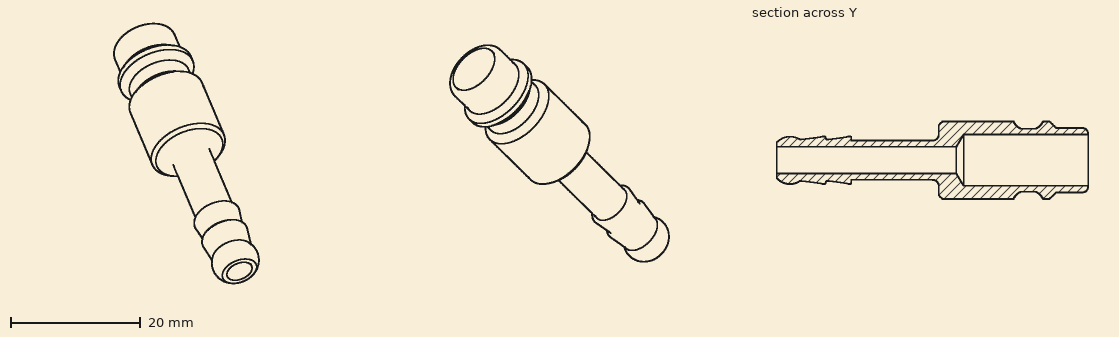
import cadquery as cq
import math

length = 48.0

nose_radius = 10.0 / 2
nose_rounding = 0.95
collar_start = 4.95
collar_flat_start = 6.0
collar_flat_end = 6.95
neck_radius = 9.75 / 2
body_radius = 12.0 / 2
neck_start = 8.1
neck_end = 10.4
flare_sag = 0.15

body_start = 11.5
body_end = 23.05
body_chamfer = 0.6

tube_radius = 6.1 / 2
tube_fillet = 0.95
barb_radius = 3.7
barb_root_radius = 3.2
barb_rounding = 0.3
barb_starts = (36.5, 40.4)
barb_ends = (40.15, 44.4)
barb_root_fillet = barb_radius - barb_rounding - barb_root_radius

bulb_crest = 46.2
bulb_end_radius = 2.8

wide_bore_radius = 7.85 / 2
wide_bore_depth = 19.2
through_bore_radius = 4.1 / 2
drill_half_angle = math.radians(59)
cone_length = (wide_bore_radius - through_bore_radius) / math.tan(drill_half_angle)


def circle_point(center_x, center_r, radius, angle_degrees):
    """Point on a circle at the given angle from +X."""
    angle = math.radians(angle_degrees)
    return (center_x + radius * math.cos(angle), center_r + radius * math.sin(angle))


def add_barb(outline, start, end):
    """Rounded rim followed by a taper toward the tip."""
    return (
        outline.threePointArc(
            circle_point(start + barb_rounding, barb_radius - barb_rounding, barb_rounding, 135),
            (start + barb_rounding, barb_radius),
        )
        .lineTo(end, barb_root_radius)
    )


outline = (
    cq.Workplane("XY")
    .moveTo(0, 0)
    .lineTo(0, nose_radius - nose_rounding)
    .threePointArc(
        circle_point(nose_rounding, nose_radius - nose_rounding, nose_rounding, 135),
        (nose_rounding, nose_radius),
    )
    .lineTo(collar_start, nose_radius)
    .lineTo(collar_flat_start, body_radius)
    .lineTo(collar_flat_end, body_radius)
    .sagittaArc((neck_start, neck_radius), -flare_sag)
    .lineTo(neck_end, neck_radius)
)

outline = (
    outline.sagittaArc((body_start, body_radius), -flare_sag)
    .lineTo(body_end - body_chamfer, body_radius)
    .lineTo(body_end, body_radius - body_chamfer)
    .lineTo(body_end, tube_radius + tube_fillet)
    .threePointArc(
        circle_point(body_end + tube_fillet, tube_radius + tube_fillet, tube_fillet, 225),
        (body_end + tube_fillet, tube_radius),
    )
    .lineTo(barb_starts[0], tube_radius)
    .lineTo(barb_starts[0], barb_radius - barb_rounding)
)

outline = add_barb(outline, barb_starts[0], barb_ends[0])
root_fillet_start = barb_starts[1] - barb_root_fillet
root_fillet_r = barb_root_radius + barb_root_fillet
outline = outline.lineTo(root_fillet_start, barb_root_radius).threePointArc(
    circle_point(root_fillet_start, root_fillet_r, barb_root_fillet, -45),
    (barb_starts[1], root_fillet_r),
)
outline = add_barb(outline, barb_starts[1], barb_ends[1])

outline = (
    outline.threePointArc((bulb_crest, barb_radius), (length, bulb_end_radius))
    .lineTo(length, 0)
    .close()
)
turned_body = outline.revolve(360, (0, 0, 0), (1, 0, 0))

bore = (
    cq.Workplane("XY")
    .lineTo(0, wide_bore_radius)
    .lineTo(wide_bore_depth, wide_bore_radius)
    .lineTo(wide_bore_depth + cone_length, through_bore_radius)
    .lineTo(length, through_bore_radius)
    .lineTo(length, 0)
    .close()
    .revolve(360, (0, 0, 0), (1, 0, 0))
)

result = turned_body.cut(bore)